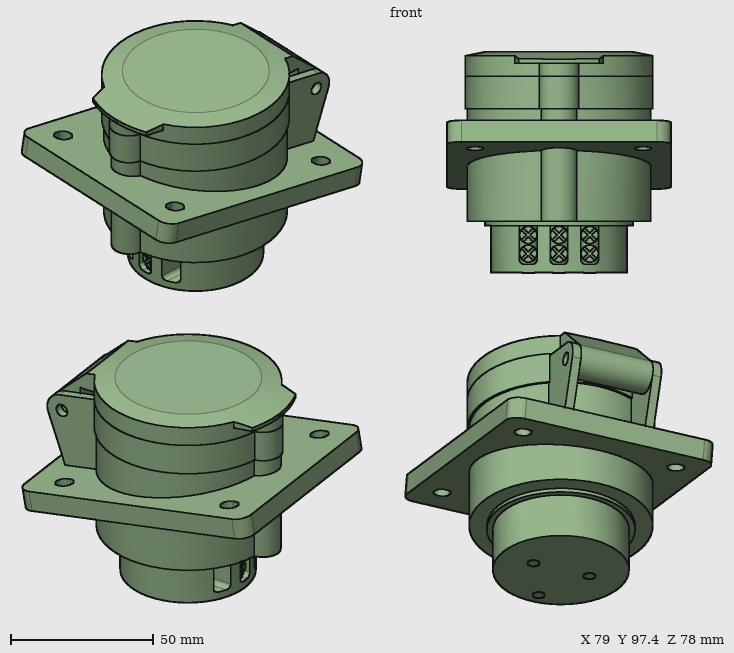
import cadquery as cq
import math

flange_bottom = 16.6
barrel_bottom = 18.0
collar_bottom = 57.6
lid_bottom = 69.1
lip_bottom = 73.8
top_z = 77.8

block_radius = 24.0
flange_radius = 26.1
barrel_radius = 32.4
collar_radius = 33.1
lobe_center_y = -31.3
barrel_lobe_radius = 6.3
collar_lobe_radius = barrel_lobe_radius + collar_radius - barrel_radius

plate_width = 79.0
plate_length = 96.0
plate_thickness = 7.7
plate_corner_radius = 5.1
plate_tilt = 10.0
plate_center_y = -1.7
plate_center_z = 41.5
mount_spacing_x = 59.1
mount_spacing_y = 68.8
mount_slot_width = 5.8
mount_slot_length = 6.7

hinge_y = 41.7
hinge_z = 59.8
hinge_radius = 6.1
hinge_bore = 4.6
tab_width = 27.7
ear_thickness = 3.3
ear_root_y = 26.3
ear_root_z = 35.1
ear_back_angle = 20.0
tab_slope_angle = 43.0
tab_inner_y = 36.1
tab_root_y = 29.25

lid_flat_radius = 25.8
cone_drop = 1.5
cone_slope = cone_drop / (collar_radius - lid_flat_radius)
lip_radius = 38.6
lip_root_half_width = 15.8
lip_root_y = 28.5
lip_tip_half_width = 14.1
lip_tip_y = 35.9

terminal_pitch = 10.8
slot_width = 6.2
slot_floor_z = 2.9
slot_floor_fillet = 1.8
post_radius = slot_width / 2
earth_post_y = -18.9
pole_post_y = 0.5
tip_radius = 2.1
tip_height = 0.2
screw_levels = (6.7, 13.3)
screw_radius = 3.0
screw_length = 2.9
screw_proud = 0.1
recess_width = 1.0
recess_depth = 0.4
recess_angles = (45, 135)

terminals = [(-terminal_pitch, pole_post_y), (0, earth_post_y), (terminal_pitch, pole_post_y)]


def cylinder(radius, bottom, top, x=0, y=0):
    """Upright cylinder between two levels."""
    return cq.Workplane("XY", origin=(x, y, bottom)).circle(radius).extrude(top - bottom)


def cross_cylinder(radius, width):
    """Cylinder along X around the hinge axis, centred on x = 0."""
    return cq.Workplane("YZ").center(hinge_y, hinge_z).circle(radius).extrude(width / 2, both=True)


def hinge_tangent_point(angle):
    """Point (y, z) of the hinge rounding whose normal has this angle above +Y."""
    return (
        hinge_y + hinge_radius * math.cos(math.radians(angle)),
        hinge_z + hinge_radius * math.sin(math.radians(angle)),
    )


def make_barrel():
    """Terminal block, flange, barrel and collar, with the lobe along the -Y side."""
    return (
        cylinder(block_radius, 0, flange_bottom)
        .union(cylinder(flange_radius, flange_bottom, barrel_bottom))
        .union(cylinder(barrel_radius, barrel_bottom, collar_bottom))
        .union(cylinder(barrel_lobe_radius, barrel_bottom, collar_bottom, y=lobe_center_y))
        .union(cylinder(collar_radius, collar_bottom, lid_bottom))
        .union(cylinder(collar_lobe_radius, collar_bottom, lid_bottom, y=lobe_center_y))
    )


def make_plate():
    """Rounded plate that rises toward -Y, with four upright slotted mounting holes."""
    plate = (
        cq.Workplane("XY")
        .box(plate_width, plate_length, plate_thickness)
        .edges("|Z")
        .fillet(plate_corner_radius)
        .rotate((0, 0, 0), (1, 0, 0), -plate_tilt)
        .translate((0, plate_center_y, plate_center_z))
    )
    holes = (
        cq.Workplane("XY", origin=(0, plate_center_y, 0))
        .rarray(mount_spacing_x, mount_spacing_y, 2, 2)
        .slot2D(mount_slot_length, mount_slot_width, 90)
        .extrude(top_z)
    )
    return plate.cut(holes)


def make_ears():
    """Two hinge ears, each a rounded plate whose top edge is parallel to the mounting plate."""
    top_y, top_edge_z = hinge_tangent_point(90 - plate_tilt)
    back_y, back_z = hinge_tangent_point(-ear_back_angle)
    top_rise = (top_y - ear_root_y) * math.tan(math.radians(plate_tilt))
    back_run = (back_z - ear_root_z) * math.tan(math.radians(ear_back_angle))
    outline = [
        (hinge_y, hinge_z),
        (top_y, top_edge_z),
        (ear_root_y, top_edge_z + top_rise),
        (ear_root_y, ear_root_z),
        (back_y - back_run, ear_root_z),
        (back_y, back_z),
    ]
    outer_width = tab_width + 2 * ear_thickness
    ears = cq.Workplane("YZ").polyline(outline).close().extrude(outer_width / 2, both=True)
    ears = ears.union(cross_cylinder(hinge_radius, outer_width))
    gap = cq.Workplane("XY").box(tab_width, plate_length, 2 * top_z).translate((0, hinge_y, 0))
    return ears.cut(gap).cut(cross_cylinder(hinge_bore / 2, outer_width))


def screw_face_y(post_y):
    """Y of the outer face of the screws in a post."""
    return post_y - post_radius - screw_proud


def screw_blank(x, post_y, z):
    """Plain screw cylinder, running in +Y from its face."""
    plane = cq.Workplane("XZ", origin=(x, screw_face_y(post_y), z))
    return plane.circle(screw_radius).extrude(-screw_length)


def make_terminal_slot(x, post_y):
    """Space of a slot open toward -Y, ending around the front half of its post."""
    height = flange_bottom - slot_floor_z
    depth = post_y + barrel_radius
    slot = (
        cq.Workplane("XY")
        .box(slot_width, depth, height, centered=(True, False, False))
        .translate((x, -barrel_radius, slot_floor_z))
        .edges("|Y and <Z")
        .fillet(slot_floor_fillet)
    )
    return slot.cut(cylinder(post_radius, 0, flange_bottom, x, post_y))


def make_screw(x, post_y, z):
    """Terminal screw with a diagonal cross recess in its face."""
    screw = screw_blank(x, post_y, z)
    for angle in recess_angles:
        groove = (
            cq.Workplane("XY")
            .box(2 * slot_width, 2 * recess_depth, recess_width)
            .rotate((0, 0, 0), (0, 1, 0), angle)
            .translate((x, screw_face_y(post_y), z))
        )
        screw = screw.cut(groove)
    return screw


def make_housing():
    """Barrel, plate and ears as one body, with the terminal slots and screw holes."""
    inside_barrel = cylinder(barrel_radius, barrel_bottom, lid_bottom)
    housing = make_barrel().union(make_plate()).union(make_ears().cut(inside_barrel))
    for x, post_y in terminals:
        housing = housing.cut(make_terminal_slot(x, post_y))
        housing = housing.union(cylinder(tip_radius, -tip_height, slot_floor_z / 2, x, post_y))
        for z in screw_levels:
            housing = housing.cut(screw_blank(x, post_y, z))
    return housing


def make_lid_dome():
    """Everything below the flat top and the cone around it."""
    rim_radius = hinge_y + 2 * hinge_radius
    rim_z = top_z - cone_slope * (rim_radius - lid_flat_radius)
    outline = [(0, 0), (rim_radius, 0), (rim_radius, rim_z), (lid_flat_radius, top_z), (0, top_z)]
    return cq.Workplane("XZ").polyline(outline).close().revolve(360, (0, 0, 0), (0, 1, 0))


def make_lip():
    """Finger lip on the -Y side with a round front edge."""
    return (
        cq.Workplane("XY", origin=(0, 0, lip_bottom))
        .moveTo(-lip_root_half_width, -lip_root_y)
        .lineTo(-lip_tip_half_width, -lip_tip_y)
        .threePointArc((0, -lip_radius), (lip_tip_half_width, -lip_tip_y))
        .lineTo(lip_root_half_width, -lip_root_y)
        .close()
        .extrude(top_z - lip_bottom)
    )


def make_hinge_tab():
    """Tab from the lid down to the hinge axis, with a sloped outer face."""
    slope_y, slope_z = hinge_tangent_point(90 - tab_slope_angle)
    slope_run = (top_z - slope_z) / math.tan(math.radians(tab_slope_angle))
    outline = [
        (tab_root_y, lid_bottom),
        (tab_inner_y, lid_bottom),
        (tab_inner_y, hinge_z),
        (hinge_y, hinge_z),
        (slope_y, slope_z),
        (slope_y - slope_run, top_z),
        (tab_root_y, top_z),
    ]
    tab = cq.Workplane("YZ").polyline(outline).close().extrude(tab_width / 2, both=True)
    tab = tab.union(cross_cylinder(hinge_radius, tab_width))
    return tab.cut(cross_cylinder(hinge_bore / 2, tab_width))


def make_lid():
    """Round lid with lobe, lip and hinge tab, all trimmed by the cone of its top."""
    return (
        cylinder(collar_radius, lid_bottom, top_z)
        .union(cylinder(collar_lobe_radius, lid_bottom, top_z, y=lobe_center_y))
        .union(make_lip())
        .union(make_hinge_tab())
        .intersect(make_lid_dome())
    )


housing = make_housing()
lid = make_lid()
screws = [make_screw(x, post_y, z) for x, post_y in terminals for z in screw_levels]

result = cq.Compound.makeCompound([housing.val(), lid.val(), *[screw.val() for screw in screws]])